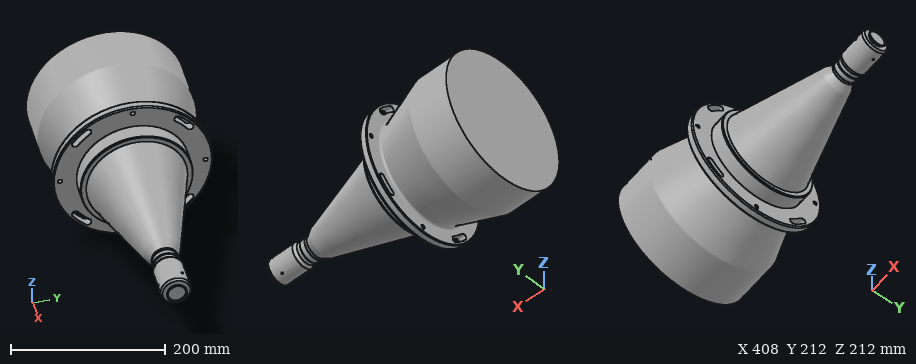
import cadquery as cq
import math

total_length = 408.0
body_diameter = 212.0
body_radius = body_diameter / 2
body_length = 66.0
body_edge_round = 5.0

flange_start = 143.0
flange_end = 155.5
flange_radius = body_radius
flange_front_chamfer = 1.2
flange_back_chamfer_length = 2.5
flange_back_chamfer_depth = 1.2
rear_cone_end_radius = 79.0
flange_fillet = 3.0

collar_end = 178.8
collar_radius = 74.5
collar_chamfer_length = 2.0
collar_chamfer_depth = 1.0
front_cone_radius = 67.5
front_cone_end = 323.0
front_cone_end_radius = 24.5

neck_radius = 18.0
neck_start = 334.0
groove_radius = 17.0
groove_wall_run = 1.2
neck_ring_start = 339.0
neck_ring_end = 346.5
neck_end = 353.0

head_start = 358.0
head_end = 404.0
head_radius = 20.5
head_chamfer_length = 3.3
head_chamfer_depth = 2.0
button_start = 407.0
button_radius = 13.5
button_neck_radius = 12.0

flange_circle_radius = 96.7
slot_count = 4
slot_first_angle = 45
slot_half_sweep = 7
slot_width = 9.0
pin_hole_count = 4
pin_hole_diameter = 5.7

screw_count = 3
screw_first_angle = 55
screw_position = 387.8
screw_diameter = 2.5
screw_depth = 2.0


def revolved_body():
    """Solid of revolution; each profile point is (position along X, radius)."""
    profile = (
        cq.Workplane("XZ")
        .moveTo(0, 0)
        .lineTo(0, body_radius)
        .lineTo(body_length, body_radius)
        .lineTo(flange_start, rear_cone_end_radius)
        .lineTo(flange_start, flange_radius - flange_front_chamfer)
        .lineTo(flange_start + flange_front_chamfer, flange_radius)
        .lineTo(flange_end - flange_back_chamfer_length, flange_radius)
        .lineTo(flange_end, flange_radius - flange_back_chamfer_depth)
        .lineTo(flange_end, collar_radius)
        .lineTo(collar_end - collar_chamfer_length, collar_radius)
        .lineTo(collar_end, collar_radius - collar_chamfer_depth)
        .lineTo(collar_end, front_cone_radius)
        .lineTo(front_cone_end, front_cone_end_radius)
        .lineTo(neck_start, neck_radius)
        .lineTo(neck_start + groove_wall_run, groove_radius)
        .lineTo(neck_ring_start, groove_radius)
        .lineTo(neck_ring_start, neck_radius)
        .lineTo(neck_ring_end, neck_radius)
        .lineTo(neck_ring_end + groove_wall_run, groove_radius)
        .lineTo(neck_end, groove_radius)
        .lineTo(head_start, head_radius)
        .lineTo(head_end - head_chamfer_length, head_radius)
        .lineTo(head_end, head_radius - head_chamfer_depth)
        .lineTo(head_end, button_neck_radius)
        .lineTo(button_start, button_neck_radius)
        .lineTo(button_start, button_radius)
        .lineTo(total_length, button_radius)
        .lineTo(total_length, 0)
        .close()
    )
    return profile.revolve(360, (0, 0, 0), (1, 0, 0))


def circle_edge(position, radius):
    """Selector for the circular edge at a given position and radius."""
    margin = 0.2
    return cq.selectors.BoxSelector(
        (position - margin, -radius - margin, -radius - margin),
        (position + margin, radius + margin, radius + margin),
        boundingbox=True,
    )


def on_flange(radius, angle):
    """Local (Y, Z) point on the flange at a polar angle measured from +Y."""
    turn = math.radians(angle)
    return radius * math.cos(turn), radius * math.sin(turn)


def arc_slot(mid_angle):
    """Curved slot through the flange, with round ends."""
    inner = flange_circle_radius - slot_width / 2
    outer = flange_circle_radius + slot_width / 2
    first = mid_angle - slot_half_sweep
    last = mid_angle + slot_half_sweep
    end_reach = math.degrees(slot_width / 2 / flange_circle_radius)
    return (
        cq.Workplane("YZ", origin=(flange_start, 0, 0))
        .moveTo(*on_flange(inner, first))
        .threePointArc(on_flange(inner, mid_angle), on_flange(inner, last))
        .threePointArc(on_flange(flange_circle_radius, last + end_reach), on_flange(outer, last))
        .threePointArc(on_flange(outer, mid_angle), on_flange(outer, first))
        .threePointArc(on_flange(flange_circle_radius, first - end_reach), on_flange(inner, first))
        .close()
        .extrude(flange_end - flange_start)
    )


def pin_holes():
    """Small holes through the flange, midway between the slots."""
    return (
        cq.Workplane("YZ", origin=(flange_start, 0, 0))
        .polarArray(flange_circle_radius, 0, 360, pin_hole_count)
        .circle(pin_hole_diameter / 2)
        .extrude(flange_end - flange_start)
    )


def screw_hole(angle):
    """Shallow radial hole in the head."""
    hole_floor = cq.Workplane("XZ", origin=(screw_position, head_radius - screw_depth, 0))
    drill = hole_floor.circle(screw_diameter / 2).extrude(-2 * screw_depth)
    return drill.rotate((0, 0, 0), (1, 0, 0), angle)


result = revolved_body()
result = result.edges(circle_edge(body_length, body_radius)).fillet(body_edge_round)
result = result.edges(circle_edge(flange_start, rear_cone_end_radius)).fillet(flange_fillet)

for index in range(slot_count):
    result = result.cut(arc_slot(slot_first_angle + index * 360 / slot_count))
result = result.cut(pin_holes())
for index in range(screw_count):
    result = result.cut(screw_hole(screw_first_angle + index * 360 / screw_count))